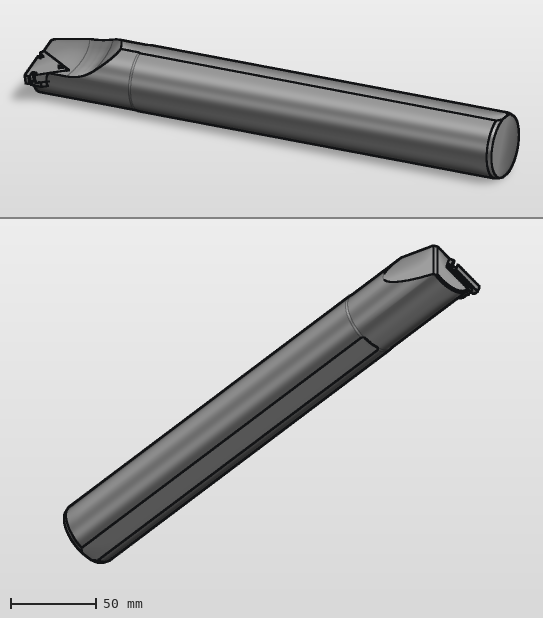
import cadquery as cq
import math

total_length = 300.0
shank_radius = 19.8
neck_radius = 19.5
flat_height = 18.5
head_face_x = 1.2
neck_end_x = 64.8
transition_length = 1.5
tail_chamfer_length = 2.7
tail_chamfer_depth = 1.0
head_chamfer = 1.0

relief_start_y = 10.2
relief_end_x = 35.5
relief_corner_chamfer = 1.5

rake_angle = 15.3
rake_height = 6.3

bowl_floor_end_x = 27.0
bowl_radius = 54.0
bowl_center_v = -4.0
bowl_fillet = 25.5
bowl_wall_angle = 37.0
bowl_depth = 36.0

insert_height = 23.5
insert_side = insert_height / math.cos(math.radians(30))
insert_center_v = -14.0
insert_thickness = 6.0
tooth_reach = 25.2
tooth_tip_v = -tooth_reach / math.cos(math.radians(rake_angle))
slot_start = 3.3
slot_width = 2.5
slot_end_v = -22.0

seat_thickness = 3.3
seat_setback = 1.5
seat_end_v = -22.8

margin = 30.0


def rake_plane(depth=0.0):
    """Plane parallel to the rake plane, the given depth below it."""
    tilt = math.radians(rake_angle)
    plane = cq.Plane(
        origin=(0, 0, rake_height), xDir=(1, 0, 0), normal=(0, -math.sin(tilt), math.cos(tilt))
    )
    plane.origin = plane.toWorldCoords((0, 0, -depth))
    return plane


def triangle(depth, thickness):
    """Sharp-cornered insert triangle, below the given depth."""
    top_v = insert_center_v + insert_side / 2
    bottom_v = insert_center_v - insert_side / 2
    corners = [(0, top_v), (0, bottom_v), (insert_height, insert_center_v)]
    return cq.Workplane(rake_plane(depth)).polyline(corners).close().extrude(-thickness)


def make_bar():
    """Neck and shank, turned, with two clamping flats."""
    shank_start_x = neck_end_x + transition_length
    profile = [
        (head_face_x, 0),
        (head_face_x, neck_radius - head_chamfer),
        (head_face_x + head_chamfer, neck_radius),
        (neck_end_x, neck_radius),
        (shank_start_x, shank_radius),
        (total_length - tail_chamfer_length, shank_radius),
        (total_length, shank_radius - tail_chamfer_depth),
        (total_length, 0),
    ]
    bar = cq.Workplane("XY").polyline(profile).close().revolve(360, (0, 0, 0), (1, 0, 0))

    block = cq.Workplane("XY").box(total_length, 2 * shank_radius, margin, centered=(False, True, False))
    top_flat = block.translate((0, 0, flat_height))
    bottom_flat = block.translate((neck_end_x, 0, -flat_height - margin))
    return bar.cut(top_flat).cut(bottom_flat)


def make_relief():
    """Wedge removed from the +Y side of the head, with its corner broken."""
    slope = (neck_radius - relief_start_y) / (relief_end_x - head_face_x)
    corner_end_x = head_face_x + relief_corner_chamfer
    outline = [
        (head_face_x, relief_start_y - relief_corner_chamfer),
        (corner_end_x, relief_start_y + slope * relief_corner_chamfer),
        (relief_end_x, neck_radius),
        (relief_end_x, neck_radius + margin),
        (head_face_x, neck_radius + margin),
    ]
    return cq.Workplane("XY").polyline(outline).close().extrude(2 * margin, both=True)


def make_bowl():
    """Space above the rake plane: flat floor, rounded rim and conical wall."""
    wall = math.radians(bowl_wall_angle)
    fillet_end = (bowl_radius + bowl_fillet * math.sin(wall), bowl_fillet * (1 - math.cos(wall)))
    fillet_middle = (
        bowl_radius + bowl_fillet * math.sin(wall / 2),
        bowl_fillet * (1 - math.cos(wall / 2)),
    )
    wall_end_radius = fillet_end[0] + (bowl_depth - fillet_end[1]) / math.tan(wall)
    plane = rake_plane()
    center = plane.toWorldCoords((bowl_floor_end_x - bowl_radius, bowl_center_v, 0))
    section = cq.Plane(origin=center, xDir=(1, 0, 0), normal=-plane.yDir)
    return (
        cq.Workplane(section)
        .moveTo(0, 0)
        .lineTo(bowl_radius, 0)
        .threePointArc(fillet_middle, fillet_end)
        .lineTo(wall_end_radius, bowl_depth)
        .lineTo(0, bowl_depth)
        .close()
        .revolve(360, (0, 0, 0), (0, 1, 0))
    )


def make_seat():
    """Ledge under the insert, set back from its cutting edge and tooth."""
    window = (
        cq.Workplane(rake_plane(insert_thickness))
        .moveTo(seat_setback, seat_end_v)
        .rect(margin, margin, centered=False)
        .extrude(-seat_thickness)
    )
    return triangle(insert_thickness, seat_thickness).intersect(window)


def make_holder():
    pocket = triangle(0, insert_thickness + seat_thickness)
    holder = make_bar().cut(make_relief()).cut(make_bowl())
    return holder.cut(pocket).union(make_seat())


def make_corner_cut(turn):
    """Blunts one corner tooth and cuts the slot beside it."""
    tip_cut = (
        cq.Workplane(rake_plane())
        .moveTo(-margin, tooth_tip_v - margin)
        .rect(2 * margin, margin, centered=False)
        .extrude(-insert_thickness)
    )
    slot = (
        cq.Workplane(rake_plane())
        .moveTo(slot_start, slot_end_v - margin)
        .rect(slot_width, margin, centered=False)
        .extrude(-insert_thickness)
    )
    plane = rake_plane()
    axis_start = plane.toWorldCoords((insert_height / 3, insert_center_v, 0))
    axis_end = axis_start + plane.zDir
    return tip_cut.union(slot).rotate(axis_start.toTuple(), axis_end.toTuple(), turn)


def make_insert():
    insert = triangle(0, insert_thickness)
    for turn in (0, 120, 240):
        insert = insert.cut(make_corner_cut(turn))
    return insert


holder = make_holder()
insert = make_insert()
result = cq.Compound.makeCompound([holder.val(), insert.val()])